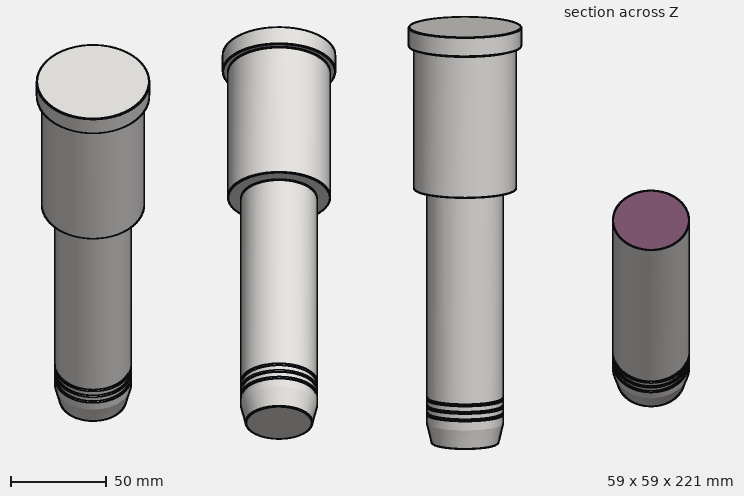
import cadquery as cq

length = 221.0
head_diameter = 59.0
body_diameter = 53.7
pin_diameter = 40.0
head_radius = head_diameter / 2
head_height = 10.4
body_radius = body_diameter / 2
body_bottom = 135.0
pin_radius = pin_diameter / 2
tip_radius = 17.5
tip_height = 10.5

head_chamfer = 0.5
body_chamfer = 0.5
tip_chamfer = 0.5

relief_height = 0.7
relief_depth = 0.2

groove_count = 3
groove_width = 1.3
groove_depth = 0.7
groove_pitch = 4.0
lowest_groove_center = 16.0


def cylinder(radius, bottom, top):
    """Upright cylinder on the Z axis between two heights."""
    return cq.Workplane("XY").workplane(offset=bottom).circle(radius).extrude(top - bottom)


def ring_groove(center):
    """Ring with a V section, to cut from the pin surface at a height."""
    half_width = groove_width / 2
    return (
        cq.Workplane("XZ")
        .moveTo(pin_radius, center - half_width)
        .lineTo(pin_radius - groove_depth, center)
        .lineTo(pin_radius, center + half_width)
        .close()
        .revolve(360, (0, 0, 0), (0, 1, 0))
    )


def relieved_cylinder(radius, bottom, top):
    """Upright cylinder with a slightly thinner neck at its upper end."""
    neck_bottom = top - relief_height
    neck = cylinder(radius - relief_depth, neck_bottom, top)
    return cylinder(radius, bottom, neck_bottom).union(neck)


head_bottom = length - head_height
head = cylinder(head_radius, head_bottom, length).faces("<Z or >Z").chamfer(head_chamfer)
body = relieved_cylinder(body_radius, body_bottom, head_bottom).faces("<Z").chamfer(body_chamfer)
pin = relieved_cylinder(pin_radius, tip_height, body_bottom)

tip = (
    cq.Workplane("XY")
    .circle(tip_radius)
    .workplane(offset=tip_height)
    .circle(pin_radius)
    .loft(ruled=True)
    .faces("<Z")
    .chamfer(tip_chamfer)
)

result = head.union(body).union(pin).union(tip)
for index in range(groove_count):
    result = result.cut(ring_groove(lowest_groove_center + index * groove_pitch))